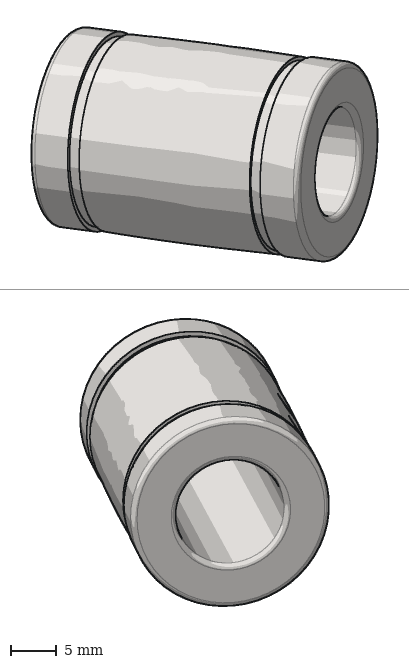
import cadquery as cq

length = 32.0
outer_diameter = 22.0
bore_diameter = 12.0
edge_radius = 0.6

groove_diameter = 21.0
groove_width = 1.3
groove_outer_span = 22.9

crown_drop = 0.13

outer_radius = outer_diameter / 2
bore_radius = bore_diameter / 2
groove_radius = groove_diameter / 2
half_length = length / 2
groove_outer = groove_outer_span / 2
groove_inner = groove_outer - groove_width
crown_end_radius = outer_radius - crown_drop


def make_sleeve():
    """Revolve the half section, with x along the axis and y as the radius."""
    section = (
        cq.Workplane("XY")
        .moveTo(-half_length, bore_radius)
        .lineTo(-half_length, outer_radius)
        .lineTo(-groove_outer, outer_radius)
        .lineTo(-groove_outer, groove_radius)
        .lineTo(-groove_inner, groove_radius)
        .lineTo(-groove_inner, crown_end_radius)
        .threePointArc((0, outer_radius), (groove_inner, crown_end_radius))
        .lineTo(groove_inner, groove_radius)
        .lineTo(groove_outer, groove_radius)
        .lineTo(groove_outer, outer_radius)
        .lineTo(half_length, outer_radius)
        .lineTo(half_length, bore_radius)
        .close()
    )
    return section.revolve(360, (0, 0, 0), (1, 0, 0))


result = make_sleeve().faces("<X or >X").edges().fillet(edge_radius)